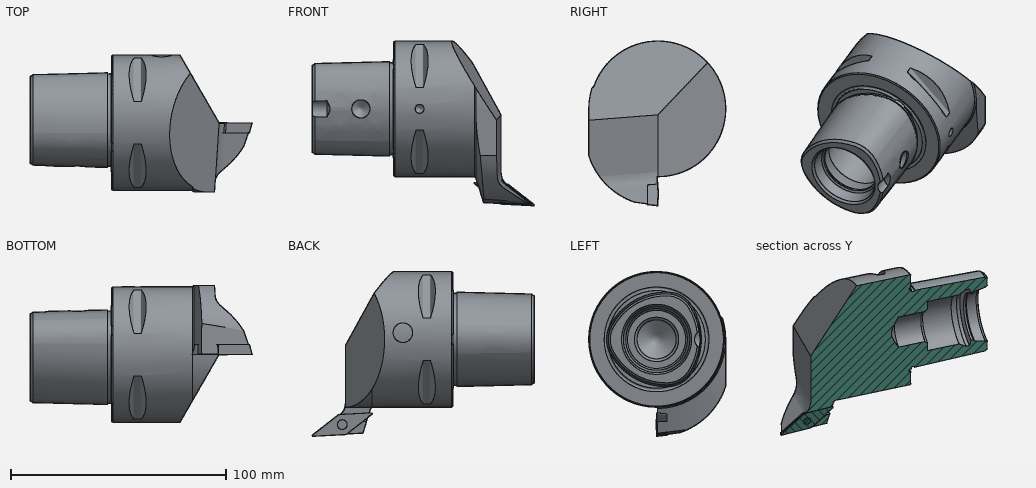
import cadquery as cq
import math

far = 82.4
clearance = 1.0

shank_end_x = -37.8
shank_root_x = -1.9
shank_half_width = 22.0
lobe_radius = 13.4
lobe_centre = 9.9
shank_taper = 1 / 40
end_chamfer_length = 1.3
end_chamfer_depth = 0.9
neck_inset = 0.5
neck_embed = 1.2

collar_radius = 31.5
collar_length = 38.1
collar_chamfer = 0.5
boss_radius = 22.7
boss_height = 0.3
face_groove_centre = 23.5
face_groove_radius = 0.8

slot_x = 12.0
slot_floor = 28.1
slot_floor_width = 3.3
slot_mouth_width = 7.9
slot_corner_radius = 0.5

drill_tip_half_angle = 59.0
dimple_diameter = 4.1
dimple_depth = 2.1
shank_hole_x = -15.2
shank_hole_diameter = 8.4
shank_hole_depth = 1.0
end_notch_diameter = 8.7
end_notch_length = 6.8
end_notch_offset = 1.1
shank_flat_y = lobe_centre + lobe_radius - 2 * shank_half_width

bore_mouth_radius = 16.3
bore_mouth_chamfer_length = 1.2
bore_cone_start_radius = 15.5
bore_cone_end_x = -31.4
bore_cone_end_radius = 14.3
bore_neck_start_x = -30.7
bore_neck_end_x = -29.7
bore_neck_radius = 13.5
groove_start_x = -28.8
groove_end_x = -27.2
groove_radius = 16.3
groove_runout_x = -26.0
groove_runout_radius = 15.6
bore_x = -23.8
bore_radius = 14.2
bore_shoulder_x = -8.2
pilot_countersink_radius = 10.3
pilot_countersink_length = 1.3
pilot_radius = 9.1
pilot_end_x = 6.2

head_radius = 32.1
step_length = 0.7
arm_arc_centre_z = -11.3
arm_arc_radius = 33.8
arm_face_y = -0.3
arm_back_slope = 0.31
front_face_x = 49.9
front_face_top_z = -2.8
top_bevel_slope = 0.66
front_fillet_radius = 7.2
front_overhang = 0.4
underside_overhang = 0.2
front_skew = (-0.065, -1.0, -0.078)
bottom_skew = (0.0, -1.0, 0.12)
side_bevel_angle = 30.0

insert_edge = 16.6
insert_angle = 35.0
insert_thickness = 4.7
insert_clearance = 5.0
insert_nose_radius = 0.4
insert_tilt = 3.0
insert_x = 51.3
insert_z = -39.6
relief_reach = 2.1
relief_floor_z = -38.1

screw_head_diameter = 4.5
screw_head_top_y = 0.2
screw_head_height = 2.5
screw_shank_diameter = 3.1
screw_length = 10.3

plug_x = 23.2
plug_z = 3.1
plug_diameter = 9.1
plug_bottom_y = 24.7


def shank_section(x, inset):
    """Three-lobed wire of constant width, shrunk inwards by `inset`."""
    small = lobe_radius - inset
    large = 2 * shank_half_width - lobe_radius - inset

    def point(angle, along, offset_angle, radius):
        a = math.radians(angle)
        b = math.radians(angle + offset_angle)
        return (along * math.cos(a) + radius * math.cos(b), along * math.sin(a) + radius * math.sin(b))

    section = cq.Workplane("YZ", origin=(x, 0, 0)).moveTo(*point(0, lobe_centre, -30, small))
    for angle in (0, 120, 240):
        section = section.threePointArc(
            point(angle, lobe_centre, 0, small), point(angle, lobe_centre, 30, small)
        )
        section = section.threePointArc(
            point(angle + 60, -lobe_centre, 0, large), point(angle + 120, lobe_centre, -30, small)
        )
    return section.close().val()


def make_shank():
    chamfer_x = shank_end_x + end_chamfer_length
    tip_inset = (shank_root_x - chamfer_x) * shank_taper
    body_root = shank_section(shank_root_x, 0)
    body_tip = shank_section(chamfer_x, tip_inset)
    end_face = shank_section(shank_end_x, tip_inset + end_chamfer_depth)
    shank = cq.Workplane(cq.Solid.makeLoft([body_root, body_tip], True))
    shank = shank.union(cq.Workplane(cq.Solid.makeLoft([body_tip, end_face], True)))
    neck = cq.Solid.extrudeLinear(shank_section(shank_root_x, neck_inset), [], cq.Vector(neck_embed - shank_root_x, 0, 0))
    return shank.union(cq.Workplane(neck))


def revolve_about_axis(points):
    """Solid of revolution about X from (x, radius) points."""
    return cq.Workplane("XY").polyline(points).close().revolve(360, (0, 0, 0), (1, 0, 0))


def make_collar():
    collar = cq.Workplane("YZ").circle(collar_radius).extrude(collar_length).edges("<X").chamfer(collar_chamfer)
    boss = cq.Workplane("YZ").circle(boss_radius).extrude(-boss_height)
    groove = cq.Solid.makeTorus(face_groove_centre, face_groove_radius, cq.Vector(), cq.Vector(1, 0, 0))
    return collar.union(boss).cut(cq.Workplane(groove))


def make_gripper_slots():
    """Four trapezoidal slots at 45 degrees to the Y and Z axes."""
    depth = collar_radius - slot_floor
    slope = (slot_mouth_width - slot_floor_width) / 2 / depth
    top = depth + clearance
    floor_half = slot_floor_width / 2
    top_half = floor_half + slope * top
    profile = [
        (slot_x - floor_half, slot_floor), (slot_x + floor_half, slot_floor),
        (slot_x + top_half, slot_floor + top), (slot_x - top_half, slot_floor + top),
    ]
    slot = cq.Workplane("XZ").polyline(profile).close().extrude(collar_radius, both=True)
    slot = slot.edges("|Y and <Z").fillet(slot_corner_radius)
    slots = cq.Workplane()
    for angle in (45, 135, 225, 315):
        slots = slots.add(slot.rotate((0, 0, 0), (1, 0, 0), angle))
    return slots


def drill(diameter, depth):
    """Drill along +Z from the origin, with a conical tip; it starts a little before the origin."""
    radius = diameter / 2
    tip = radius / math.tan(math.radians(drill_tip_half_angle))
    points = [(0, -clearance), (radius, -clearance), (radius, depth), (0, depth + tip)]
    return cq.Workplane("XZ").polyline(points).close().revolve(360, (0, 0, 0), (0, 1, 0))


def make_drillings():
    into_side = ((0, 0, 0), (1, 0, 0), -90)
    into_end = ((0, 0, 0), (0, 1, 0), 90)
    dimple = drill(dimple_diameter, dimple_depth).rotate(*into_side).translate((slot_x, -collar_radius, 0))
    side = drill(shank_hole_diameter, shank_hole_depth).rotate(*into_side)
    side = side.translate((shank_hole_x, shank_flat_y, 0))
    notch = drill(end_notch_diameter, end_notch_length).rotate(*into_end)
    notch = notch.translate((shank_end_x, shank_flat_y - end_notch_offset, 0))
    return dimple.add(side).add(notch)


def make_bore():
    """Stepped draw-bolt bore with a gripping groove and a conical bottom."""
    mouth_inner_x = shank_end_x + bore_mouth_chamfer_length
    countersink_end_x = bore_shoulder_x + pilot_countersink_length
    pilot_tip = pilot_radius / math.tan(math.radians(drill_tip_half_angle))
    profile = [
        (shank_end_x, 0),
        (shank_end_x, bore_mouth_radius),
        (mouth_inner_x, bore_cone_start_radius),
        (bore_cone_end_x, bore_cone_end_radius),
        (bore_neck_start_x, bore_neck_radius),
        (bore_neck_end_x, bore_neck_radius),
        (groove_start_x, groove_radius),
        (groove_end_x, groove_radius),
        (groove_runout_x, groove_runout_radius),
        (bore_x, bore_radius),
        (bore_shoulder_x, bore_radius),
        (bore_shoulder_x, pilot_countersink_radius),
        (countersink_end_x, pilot_radius),
        (pilot_end_x, pilot_radius),
        (pilot_end_x + pilot_tip, 0),
    ]
    return revolve_about_axis(profile)


def skew_extrude(section, direction, reach):
    """Extrudes an XZ wire both ways along a skew direction whose Y part is -1."""
    step = cq.Vector(*direction) * reach
    return cq.Workplane(cq.Solid.extrudeLinear(section.val().translate(step * -1), [], step * 2))


def make_head_blank():
    """Cross-section of the head, run along X and backed by a cone."""
    arm_side_z = arm_arc_centre_z - math.sqrt(arm_arc_radius**2 - head_radius**2)
    half = math.sqrt(0.5)
    blank = (
        cq.Workplane("YZ", origin=(collar_length / 2, 0, 0))
        .moveTo(0, head_radius)
        .threePointArc((-head_radius * half, head_radius * half), (-head_radius, 0))
        .lineTo(-head_radius, arm_side_z)
        .threePointArc(
            (-arm_arc_radius * half, arm_arc_centre_z - arm_arc_radius * half),
            (arm_face_y, arm_arc_centre_z - arm_arc_radius),
        )
        .lineTo(arm_face_y, -collar_radius)
        .threePointArc((collar_radius, 0), (0, collar_radius))
        .close()
        .extrude(far)
    )
    back_end_x = collar_length + arm_back_slope * (far - head_radius)
    back = revolve_about_axis([
        (0, collar_radius), (collar_length - step_length, collar_radius), (collar_length, head_radius),
        (back_end_x, far), (0, far),
    ])
    return blank.cut(back)


def insert_corner(along_angle, distance):
    """XZ point at a polar position from the insert's centre."""
    a = math.radians(along_angle)
    return (insert_x + distance * math.cos(a), insert_z + distance * math.sin(a))


half_angle = math.radians(insert_angle / 2)
diagonal_angle = -(insert_tilt + insert_angle / 2)
long_half = insert_edge * math.cos(half_angle)
short_half = insert_edge * math.sin(half_angle)
insert_tip = insert_corner(diagonal_angle, long_half)
insert_upper = insert_corner(diagonal_angle + 90, short_half)
insert_back = insert_corner(diagonal_angle, -long_half)
insert_lower = insert_corner(diagonal_angle - 90, short_half)


def make_front_cut():
    """Everything in front of the top bevel, the front face and the slope along the insert."""
    slope_angle = math.radians(insert_tilt + insert_angle)
    slope = (math.cos(slope_angle), -math.sin(slope_angle))
    corner_z = insert_tip[1] + (insert_tip[0] - front_face_x) * math.tan(slope_angle)
    corner_z -= front_overhang / math.cos(slope_angle)
    tangent = front_fillet_radius * math.tan((math.pi / 2 - slope_angle) / 2)
    fillet_end = (front_face_x + tangent * slope[0], corner_z + tangent * slope[1])
    slope_end = (front_face_x + far * slope[0], corner_z + far * slope[1])
    bevel_top_x = front_face_x - top_bevel_slope * (far - front_face_top_z)
    section = (
        cq.Workplane("XZ")
        .moveTo(bevel_top_x, far)
        .lineTo(front_face_x, front_face_top_z)
        .lineTo(front_face_x, corner_z + tangent)
        .tangentArcPoint(fillet_end, relative=False)
        .lineTo(*slope_end)
        .lineTo(2 * far, far)
        .close()
    )
    return skew_extrude(section, front_skew, head_radius + clearance)


def make_bottom_cut():
    """Everything below the arm's underside, which follows the insert's lower edge."""
    rise = math.tan(math.radians(insert_tilt))
    underside_z = insert_tip[1] + underside_overhang
    left_z = underside_z + rise * (insert_tip[0] + far)
    right_z = underside_z + rise * (insert_tip[0] - far)
    section = (
        cq.Workplane("XZ").moveTo(-far, left_z).lineTo(far, right_z)
        .lineTo(far, -far).lineTo(-far, -far).close()
    )
    return skew_extrude(section, bottom_skew, head_radius + clearance)


def make_side_bevel_cut():
    run = far * math.tan(math.radians(side_bevel_angle))
    section = [(front_face_x, 0), (front_face_x - run, far), (far, far), (far, 0)]
    return cq.Workplane("XY").polyline(section).close().extrude(far, both=True)


def make_insert():
    corners = [insert_tip, insert_upper, insert_back, insert_lower]
    insert = cq.Workplane("XZ").polyline(corners).close().extrude(insert_thickness, taper=insert_clearance)
    for corner in (insert_tip, insert_back):
        nose = cq.selectors.NearestToPointSelector((corner[0], -insert_thickness / 2, corner[1]))
        insert = insert.edges("not #Y").edges(nose).fillet(insert_nose_radius)
    return insert


def make_pocket_relief():
    """Opens the insert pocket to the back of the arm, below the insert's back corner."""
    along = (insert_back[1] - relief_floor_z) / (insert_back[1] - insert_lower[1])
    floor_end_x = insert_back[0] + along * (insert_lower[0] - insert_back[0])
    behind = insert_corner(diagonal_angle, -(long_half + relief_reach))
    section = [
        behind, (insert_x, insert_z), (floor_end_x, relief_floor_z), (behind[0], relief_floor_z),
    ]
    return cq.Workplane("XZ").polyline(section).close().extrude(insert_thickness)


def make_screw():
    """Countersunk screw along Y."""
    head = screw_head_diameter / 2
    shank = screw_shank_diameter / 2
    head_base = screw_head_top_y - screw_head_height
    points = [
        (0, screw_head_top_y), (head, screw_head_top_y), (head, 0),
        (shank, head_base), (shank, -screw_length), (0, -screw_length),
    ]
    screw = cq.Workplane("XY").polyline(points).close().revolve(360, (0, 0, 0), (0, 1, 0))
    return screw.translate((insert_x, 0, insert_z))


def make_plug():
    """Coolant plug, flush with the collar."""
    bar = (
        cq.Workplane("XZ", origin=(plug_x, plug_bottom_y, plug_z))
        .circle(plug_diameter / 2).extrude(-(collar_radius - plug_bottom_y + clearance))
    )
    return bar.intersect(cq.Workplane("YZ").circle(collar_radius).extrude(collar_length))


screw = make_screw()
insert_blank = make_insert()
insert = insert_blank.cut(screw)
plug = make_plug()

holder = make_collar().union(make_head_blank())
holder = holder.cut(make_front_cut()).cut(make_side_bevel_cut()).cut(make_bottom_cut())
holder = holder.union(make_shank()).cut(make_bore())
for cutter in make_gripper_slots().vals() + make_drillings().vals():
    holder = holder.cut(cq.Workplane(cutter))
holder = holder.cut(insert_blank).cut(make_pocket_relief()).cut(screw).cut(plug)

result = cq.Compound.makeCompound([body.solids().val() for body in (holder, insert, screw, plug)])